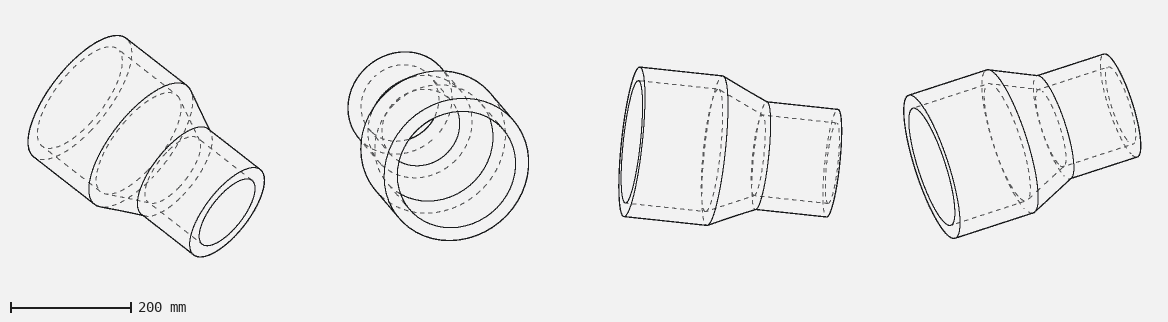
import cadquery as cq
import math

total_length = 338.0
large_length = 140.0
small_length = 120.0

large_outer_diameter = 250.0
large_bore_diameter = 204.5
small_outer_diameter = 180.0
small_bore_diameter = 134.5

cone_start = large_length
cone_end = total_length - small_length

wall_thickness = (large_outer_diameter - large_bore_diameter) / 2
cone_drop = (large_outer_diameter - small_outer_diameter) / 2
cone_angle = math.atan2(cone_drop, cone_end - cone_start)
bore_shift = wall_thickness * math.tan(cone_angle / 2)


def stepped_cone(large_diameter, small_diameter, start, end):
    """Solid of revolution: large cylinder, cone from start to end, small cylinder."""
    large_radius = large_diameter / 2
    small_radius = small_diameter / 2
    return (
        cq.Workplane("XY")
        .moveTo(0, 0)
        .lineTo(0, large_radius)
        .lineTo(start, large_radius)
        .lineTo(end, small_radius)
        .lineTo(total_length, small_radius)
        .lineTo(total_length, 0)
        .close()
        .revolve(360, (0, 0, 0), (1, 0, 0))
    )


body = stepped_cone(large_outer_diameter, small_outer_diameter, cone_start, cone_end)
bore = stepped_cone(
    large_bore_diameter,
    small_bore_diameter,
    cone_start - bore_shift,
    cone_end - bore_shift,
)

result = body.cut(bore)